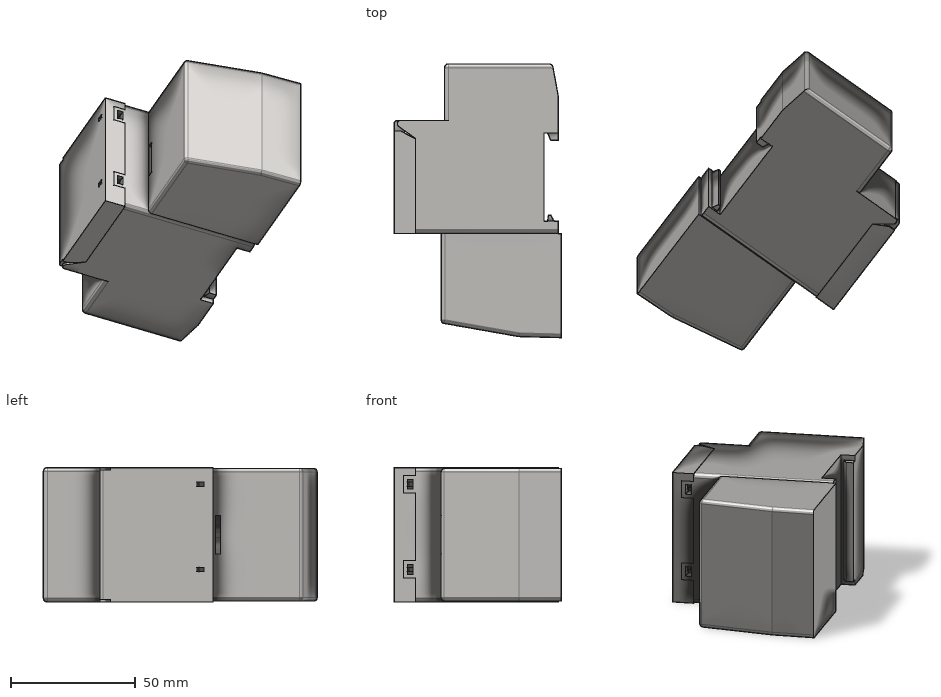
import cadquery as cq
import math


total_length = 109.9
housing_height = 54.0
cover_height = 53.3
cover_edge_radius = 1.5
cover_corner_radius = 1.3
edge_radius = 3.4 / 2

upper_end_y = 68.1
shoulder_y = 45.4
upper_front_x = 20.2
housing_back_x = 65.9
bevel_top_x = 63.5
bevel_start_y = 55.0
rail_floor_x = 60.2
rail_bottom_y = 5.1
rail_top_y = 40.3
claw_inset = 2.2
claw_front_x = 61.5
claw_tip_x = 62.9
upper_claw_y = 37.4
lower_claw_y = 7.5
lower_claw_tip_x = 61.9
lower_claw_back_x = 64.2

lid_depth = 8.7
lid_slope_bottom_y = 38.0
lid_slope_top_x = 2.6
lid_side_end_y = 41.2
lip_thickness = 1.3
nose_radius = 1.3
lip_wedge_x = 4.3
lip_end_inset = 1.0

first_latch_z = housing_height / 2 - 6.7
latch_spacing = 34.2
latch_levels = [first_latch_z, first_latch_z - latch_spacing]
tab_front_x = 3.7
tab_height = 7.0
tab_length = 9.9
window_front_x = 5.4
window_back_x = 7.7
window_height = 4.0
window_depth = 5.7
release_height = 1.6
release_start_y = 3.7
release_end_y = 6.5
release_end_x = 6.0
ramp_end_y = 7.4

cover_front_x = 18.9
cover_back_x = 67.1
cover_end_y = upper_end_y - total_length
cover_front_end_y = -35.8
cover_bend_x = 50.1
cover_bend_y = -41.3

slot_start_y = -0.9
slot_width = 2.1
slot_floor_height = 2.2
slot_end_height = 6.7
slot_depth = 4.2


def flat_prism(points, height, middle_z=0.0):
    """Prism of an XY outline, centred on middle_z."""
    start = cq.Workplane("XY").workplane(offset=middle_z - height / 2)
    return start.polyline(points).close().extrude(height)


def block(x_range, y_range, height, middle_z=0.0):
    """Rectangular block between two X and two Y limits, centred on middle_z."""
    (x0, x1), (y0, y1) = x_range, y_range
    return flat_prism([(x0, y0), (x1, y0), (x1, y1), (x0, y1)], height, middle_z)


def slope_y(x, start, end):
    """Y at x on the straight line from start to end."""
    return start[1] + (end[1] - start[1]) * (x - start[0]) / (end[0] - start[0])


lid_slope_bottom = (lid_depth, lid_slope_bottom_y)
lid_slope_top = (lid_slope_top_x, lid_side_end_y)
nose_centre = (lip_thickness + nose_radius, shoulder_y - nose_radius)
nose_front = (lip_thickness, nose_centre[1])
nose_top = (nose_centre[0], shoulder_y)


def round_point(centre, radius, angle):
    """Point at an angle, in radians, on a circle."""
    return (centre[0] + radius * math.cos(angle), centre[1] + radius * math.sin(angle))


def nose_tangent_angle():
    """Angle on the nose circle where the housing's slope leaves it tangentially."""
    dx = lid_slope_bottom[0] - nose_centre[0]
    dy = lid_slope_bottom[1] - nose_centre[1]
    return math.atan2(dy, dx) - math.acos(nose_radius / math.hypot(dx, dy))


housing_slope_top = round_point(nose_centre, nose_radius, nose_tangent_angle())


def release_hole(level):
    """Tool access hole that runs through the lid's face into the latch window."""
    return block((0, release_end_x), (release_start_y, release_end_y), release_height, level)


def latch_tab(level):
    return block((tab_front_x, lid_depth), (0, tab_length), tab_height, level)


def latch_window(level):
    """Window in a tab, with a ramped recess in its floor."""
    window = block((window_front_x, window_back_x), (0, window_depth), window_height, level)
    ramp = flat_prism(
        [(release_end_x, window_depth), (window_back_x, window_depth), (release_end_x, ramp_end_y)],
        release_height,
        level,
    )
    return window.union(ramp)


def upper_block():
    """Housing end above the shoulder, with a leaning back face and rounded edges."""
    outline = [
        (upper_front_x, shoulder_y),
        (upper_front_x, upper_end_y),
        (bevel_top_x, upper_end_y),
        (housing_back_x, bevel_start_y),
        (housing_back_x, shoulder_y),
    ]
    body = flat_prism(outline, housing_height)
    return body.faces("<X or >Y").edges("not(<Y)").fillet(edge_radius)


def main_block():
    """Housing middle, rounded along its lower edges and sloped to receive the lid."""
    lower = block((lid_depth, housing_back_x), (0, lid_slope_bottom_y), housing_height)
    lower = lower.faces("<Y").edges("|X").fillet(edge_radius)
    top = (
        cq.Workplane("XY")
        .workplane(offset=-housing_height / 2)
        .moveTo(*lid_slope_bottom)
        .lineTo(*housing_slope_top)
        .threePointArc(nose_front, nose_top)
        .lineTo(housing_back_x, shoulder_y)
        .lineTo(housing_back_x, lid_slope_bottom_y)
        .close()
        .extrude(housing_height)
    )
    return lower.union(top)


def rail_claws():
    """Two claws that grip the mounting rail."""
    claw_height = housing_height - 2 * claw_inset
    upper_outline = [
        (claw_front_x, rail_top_y),
        (claw_tip_x, upper_claw_y),
        (housing_back_x, upper_claw_y),
        (housing_back_x, rail_top_y),
    ]
    lower_outline = [
        (claw_front_x, rail_bottom_y),
        (lower_claw_tip_x, lower_claw_y),
        (claw_tip_x, lower_claw_y),
        (lower_claw_back_x, rail_bottom_y),
    ]
    return [flat_prism(outline, claw_height) for outline in (upper_outline, lower_outline)]


def make_housing():
    body = main_block().union(upper_block())
    body = body.cut(block((rail_floor_x, housing_back_x), (rail_bottom_y, rail_top_y), housing_height))
    for claw in rail_claws():
        body = body.union(claw)
    for level in latch_levels:
        body = body.union(latch_tab(level))
        body = body.cut(latch_window(level)).cut(release_hole(level))
    return body


def lid_lip():
    """Lip that wraps the housing's nose, with a rounded outer edge."""
    lip_height = housing_height - 2 * lip_end_inset
    lip_round_centre = (lip_thickness, shoulder_y - lip_thickness)
    return (
        cq.Workplane("XY")
        .workplane(offset=-lip_height / 2)
        .moveTo(0, lid_side_end_y)
        .lineTo(0, lip_round_centre[1])
        .threePointArc(
            round_point(lip_round_centre, lip_thickness, math.radians(135)),
            (lip_thickness, shoulder_y),
        )
        .lineTo(*nose_top)
        .threePointArc(nose_front, housing_slope_top)
        .lineTo(lip_wedge_x, slope_y(lip_wedge_x, housing_slope_top, lid_slope_bottom))
        .lineTo(lip_wedge_x, slope_y(lip_wedge_x, lid_slope_top, lid_slope_bottom))
        .lineTo(*lid_slope_top)
        .close()
        .extrude(lip_height)
    )


def make_lid():
    plate_outline = [(0, 0), (0, lid_side_end_y), lid_slope_top, lid_slope_bottom, (lid_depth, 0)]
    body = flat_prism(plate_outline, housing_height).union(lid_lip())
    for level in latch_levels:
        body = body.cut(latch_tab(level)).cut(release_hole(level))
    return body


def finger_slot():
    """Scoop with a flat floor between two ends that curve out to the cover's face."""
    half_floor = slot_floor_height / 2
    half_mouth = half_floor + slot_end_height
    floor_x = cover_front_x + slot_depth
    arc_radius = (slot_end_height**2 + slot_depth**2) / (2 * slot_depth)
    half_angle = math.asin(slot_end_height / arc_radius) / 2
    mid_x = floor_x - arc_radius * (1 - math.cos(half_angle))
    mid_z = half_floor + arc_radius * math.sin(half_angle)
    return (
        cq.Workplane("XZ", origin=(0, slot_start_y, 0))
        .moveTo(cover_front_x, -half_mouth)
        .threePointArc((mid_x, -mid_z), (floor_x, -half_floor))
        .lineTo(floor_x, half_floor)
        .threePointArc((mid_x, mid_z), (cover_front_x, half_mouth))
        .close()
        .extrude(slot_width)
    )


def make_terminal_cover():
    outline = [
        (cover_front_x, 0),
        (cover_front_x, cover_front_end_y),
        (cover_bend_x, cover_bend_y),
        (cover_back_x, cover_end_y),
        (cover_back_x, 0),
    ]
    body = flat_prism(outline, cover_height)
    front_corner = cq.selectors.NearestToPointSelector((cover_front_x, cover_front_end_y, 0))
    body = body.edges("|Z").edges(front_corner).fillet(cover_corner_radius)
    side_edges = body.faces("<Z or >Z").edges("not(>X or >Y)")
    return side_edges.fillet(cover_edge_radius).cut(finger_slot())


housing = make_housing()
lid = make_lid()
terminal_cover = make_terminal_cover()

result = cq.Compound.makeCompound([housing.val(), lid.val(), terminal_cover.val()])